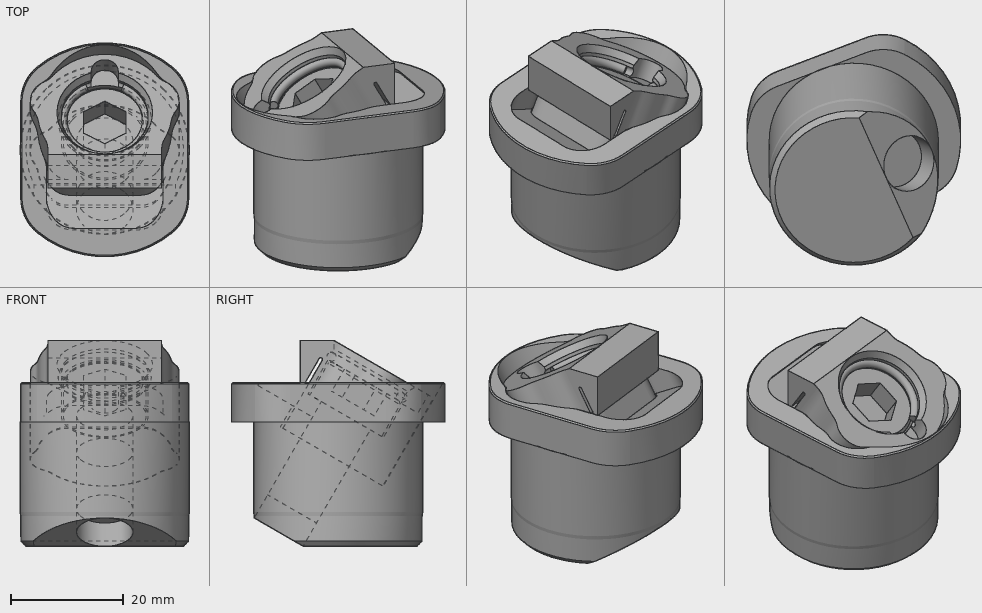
import cadquery as cq
import math

flange_radius = 18.95
flange_half_width = 14.9
flange_corner_radius = 8.0
flange_height = 7.0
flange_chamfer = 0.25

barrel_radius = 15.0
barrel_bottom_radius = 14.9
housing_height = 29.0
barrel_step_top = -23.0
barrel_step_bottom = -23.7
barrel_chamfer = 0.95

relief_edge_y = -6.2

tilt = math.radians(30)
nose_top = 7.5
nose_back_y = -0.8
nose_front_y = -6.75
nose_bottom = -0.25
axis_y = 6.6
axis_z = nose_top - (axis_y - nose_back_y) * math.tan(tilt)

jaw_radius = 11.9
lobe_radius = 4.3
lobe_x = 8.87
lobe_y = 2.4
blend_radius = 4.2
nose_half_width = 10.08
nose_edge_radius = 2.0
jaw_front = -8.55
jaw_corner_radius = 4.0
jaw_height = 18.0

relief_slit_width = 0.6
relief_slit_top = 3.8

pocket_clearance = 0.1
pocket_half_width = 10.32
pocket_front = -16.15
pocket_corner_radius = 4.8
ledge_depth = 13.65
recess_front_clearance = 0.5

screw_radius = 5.0
screw_head_radius = 7.35
screw_head_depth = 3.5
screw_head_height = 7.0
screw_head_chamfer = 0.5
hex_across_flats = 7.53
hex_depth = 4.5
screw_tip_recess = 4.75

bore_radius = 7.7
bore_mouth_radius = 8.45
bore_mouth_depth = 1.3
ring_wire_radius = 0.8
ring_radius = 7.45
ring_depth = screw_head_depth - ring_wire_radius
ring_gap_half_angle = math.radians(26.5)

notch_width = 4.8
notch_reach = 10.8
notch_depth = 3.7

large = 100.0


def slanted_plane(depth):
    """Plane square to the clamping axis; local y runs down the slanted face towards +Y."""
    sin_tilt = math.sin(tilt)
    cos_tilt = math.cos(tilt)
    origin = (0, axis_y - depth * sin_tilt, axis_z - depth * cos_tilt)
    return cq.Plane(origin=origin, xDir=(1, 0, 0), normal=(0, sin_tilt, cos_tilt))


def slanted_depth(y, z):
    """Depth of a point below the slanted jaw face."""
    return (axis_y - y) * math.sin(tilt) + (axis_z - z) * math.cos(tilt)


relief_depth = slanted_depth(relief_edge_y, -housing_height)
screw_tip_depth = relief_depth - screw_tip_recess


def slanted_disc(radius, top_depth, bottom_depth):
    return cq.Workplane(slanted_plane(bottom_depth)).circle(radius).extrude(bottom_depth - top_depth)


def lobe_points(clearance):
    """Tangent points of the +X lobe's two hollow blends, in order from front to rear."""
    body_r = jaw_radius + clearance
    lobe_r = lobe_radius + clearance
    blend_r = blend_radius - clearance
    to_body = body_r + blend_r
    to_lobe = lobe_r + blend_r
    lobe_distance = math.hypot(lobe_x, lobe_y)
    lobe_angle = math.atan2(lobe_y, lobe_x)
    swing = math.acos((to_body**2 + lobe_distance**2 - to_lobe**2) / (2 * to_body * lobe_distance))

    def blend_ends(angle):
        center_x = to_body * math.cos(angle)
        center_y = to_body * math.sin(angle)
        on_body = (body_r * math.cos(angle), body_r * math.sin(angle))
        share = lobe_r / to_lobe
        on_lobe = (lobe_x + (center_x - lobe_x) * share, lobe_y + (center_y - lobe_y) * share)
        return on_body, on_lobe

    front_body, front_lobe = blend_ends(lobe_angle - swing)
    rear_body, rear_lobe = blend_ends(lobe_angle + swing)
    return [front_body, front_lobe, rear_lobe, rear_body]


def mirrored(points):
    return [(-x, y) for x, y in reversed(points)]


def tangent_arcs(outline, points):
    for point in points:
        outline = outline.tangentArcPoint(point, relative=False)
    return outline


def jaw_body_outline(plane, front, clearance):
    """Lobed disc with a flat front whose corners are rounded into the disc."""
    body_r = jaw_radius + clearance
    corner_y = front + jaw_corner_radius
    corner_x = math.sqrt((body_r - jaw_corner_radius)**2 - corner_y**2)
    stretch = body_r / (body_r - jaw_corner_radius)
    corner_end = (corner_x * stretch, corner_y * stretch)
    side = [corner_end] + lobe_points(clearance)
    outline = cq.Workplane(plane).moveTo(-corner_x, front).lineTo(corner_x, front)
    outline = tangent_arcs(outline, side + mirrored(side) + [(-corner_x, front)])
    return outline.close()


def guide_outline(plane, half_width, clearance, corner_radius):
    """Lobed disc blended into a straight-sided front with rounded corners."""
    body_r = jaw_radius + clearance
    blend_r = blend_radius - clearance
    blend_x = half_width + blend_r
    blend_y = -math.sqrt((body_r + blend_r)**2 - blend_x**2)
    share = body_r / (body_r + blend_r)
    side = [(blend_x * share, blend_y * share)] + lobe_points(clearance)
    corner_x = half_width - corner_radius
    corner_y = pocket_front + corner_radius
    outline = cq.Workplane(plane).moveTo(-corner_x, pocket_front).lineTo(corner_x, pocket_front)
    outline = tangent_arcs(outline, [(half_width, corner_y)])
    outline = outline.lineTo(half_width, blend_y)
    outline = tangent_arcs(outline, side + mirrored(side) + [(-half_width, blend_y)])
    outline = outline.lineTo(-half_width, corner_y)
    outline = tangent_arcs(outline, [(-corner_x, pocket_front)])
    return outline.close()


def make_flange():
    """Disc with two flats, the corners rounded tangent to both."""
    corner_x = flange_half_width - flange_corner_radius
    corner_y = math.sqrt((flange_radius - flange_corner_radius)**2 - corner_x**2)
    stretch = flange_radius / (flange_radius - flange_corner_radius)
    rear = [(corner_x * stretch, corner_y * stretch)]
    rear += mirrored(rear) + [(-flange_half_width, corner_y)]
    front = [(-x, -y) for x, y in rear]
    outline = cq.Workplane("XY").moveTo(flange_half_width, -corner_y)
    outline = tangent_arcs(outline.lineTo(flange_half_width, corner_y), rear)
    outline = tangent_arcs(outline.lineTo(-flange_half_width, -corner_y), front)
    return outline.close().extrude(-flange_height).faces(">Z").chamfer(flange_chamfer)


def make_barrel():
    profile = [
        (0, -flange_height),
        (-barrel_radius, -flange_height),
        (-barrel_radius, barrel_step_top),
        (-barrel_bottom_radius, barrel_step_bottom),
        (-barrel_bottom_radius, barrel_chamfer - housing_height),
        (barrel_chamfer - barrel_bottom_radius, -housing_height),
        (0, -housing_height),
    ]
    return cq.Workplane("YZ").polyline(profile).close().revolve(360, (0, 0), (0, 1))


def make_housing():
    ledge_plane = slanted_plane(ledge_depth)
    pocket = guide_outline(ledge_plane, pocket_half_width, pocket_clearance, pocket_corner_radius).extrude(large)
    recess_front = jaw_front - recess_front_clearance
    recess = jaw_body_outline(slanted_plane(jaw_height), recess_front, pocket_clearance)
    recess = recess.extrude(jaw_height - ledge_depth)
    relief = cq.Workplane(slanted_plane(relief_depth)).rect(large, large).extrude(-large)
    thread_hole = slanted_disc(screw_radius, jaw_height, relief_depth)
    return make_flange().union(make_barrel()).cut(pocket).cut(recess).cut(relief).cut(thread_hole)


def make_ring_torus():
    """Full circle of the snap ring's wire around the clamping axis."""
    ring = cq.Solid.makeTorus(ring_radius, ring_wire_radius)
    return cq.Workplane(ring.moved(cq.Location(slanted_plane(ring_depth))))


def make_jaw_bore():
    """Space for the screw and snap ring, with a tapered mouth and a tool notch."""
    mouth = (
        cq.Workplane(slanted_plane(0)).circle(bore_mouth_radius)
        .workplane(offset=-bore_mouth_depth).circle(bore_radius).loft()
    )
    bore = slanted_disc(bore_radius, 0, screw_head_depth + screw_head_height)
    shank_hole = slanted_disc(screw_radius, 0, jaw_height)
    notch_end = notch_reach - notch_width / 2
    notch = slanted_disc(notch_width / 2, 0, notch_depth).translate(slanted_plane(0).yDir * notch_end)
    notch_channel = (
        cq.Workplane(slanted_plane(notch_depth)).center(0, notch_end / 2)
        .rect(notch_width, notch_end).extrude(notch_depth)
    )
    return mouth.union(bore).union(shank_hole).union(notch).union(notch_channel).union(make_ring_torus())


def make_nose():
    """Upright clamping block blended into the jaw body, with a lip overhanging its front."""
    guide = guide_outline(slanted_plane(jaw_height), nose_half_width, 0, nose_edge_radius).extrude(jaw_height)
    limits = cq.Workplane("XY").box(large, large, nose_top - nose_bottom, centered=(True, False, False))
    return guide.intersect(limits.translate((0, nose_front_y, nose_bottom)))


def make_relief_slit():
    slit_y = jaw_front - relief_slit_width / 2
    end_depth = relief_slit_top + relief_slit_width / 2
    channel = (
        cq.Workplane(slanted_plane(jaw_height)).center(0, slit_y)
        .rect(large, relief_slit_width).extrude(jaw_height - end_depth)
    )
    rounded_end = (
        cq.Workplane("YZ").circle(relief_slit_width / 2).extrude(large / 2, both=True)
        .translate(slanted_plane(end_depth).toWorldCoords((0, slit_y, 0)))
    )
    return channel.union(rounded_end)


def make_jaw():
    body = jaw_body_outline(slanted_plane(jaw_height), jaw_front, 0).extrude(jaw_height)
    above_nose = cq.Workplane("XY").workplane(offset=nose_top).rect(large, large).extrude(large)
    nose = make_nose().cut(make_relief_slit())
    return body.cut(above_nose).union(nose).cut(make_jaw_bore())


def make_screw():
    head = slanted_disc(screw_head_radius, screw_head_depth, screw_head_depth + screw_head_height)
    head = head.faces(cq.DirectionMinMaxSelector(slanted_plane(0).zDir, True)).chamfer(screw_head_chamfer)
    shank = slanted_disc(screw_radius, screw_head_depth, screw_tip_depth)
    hex_circle = hex_across_flats / math.cos(math.pi / 6)
    socket = (
        cq.Workplane(slanted_plane(screw_head_depth).rotated((0, 0, 90)))
        .polygon(6, hex_circle).extrude(-hex_depth)
    )
    return head.union(shank).cut(socket)


def make_snap_ring():
    gap_x = large * math.sin(ring_gap_half_angle)
    gap_y = large * math.cos(ring_gap_half_angle)
    gap = (
        cq.Workplane(slanted_plane(large / 2))
        .polyline([(0, 0), (gap_x, gap_y), (-gap_x, gap_y)]).close().extrude(large)
    )
    return make_ring_torus().cut(gap)


housing = make_housing()
jaw = make_jaw()
screw = make_screw()
snap_ring = make_snap_ring()

result = cq.Compound.makeCompound([housing.val(), jaw.val(), screw.val(), snap_ring.val()])